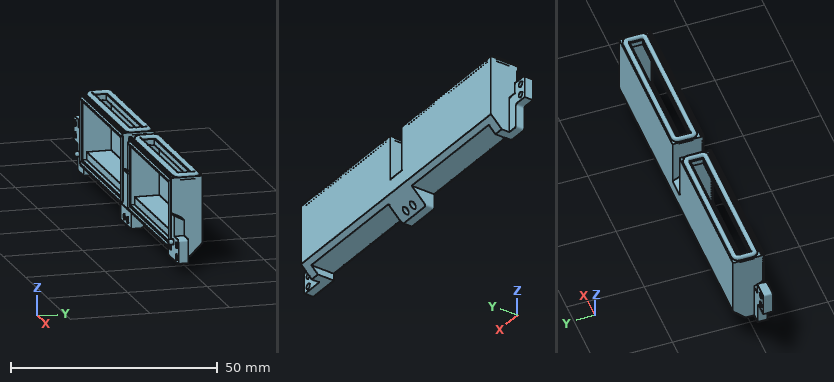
import cadquery as cq
import math


length = 93.8
body_depth = 8.0
body_top = 22.2
tab_depth = 2.5
corner_radius = 0.6
front_setback = 0.05

box_width = 37.9
box_gap = 5.0
box_bottom = 4.2
box_center_x = (box_gap + box_width) / 2
lip_depth = 0.6
lip_top = 22.7
lip_inset = 0.3

side_wall = 1.5
cavity_back = 7.3
cavity_top = 20.7
floor_z = 7.9
sill_z = 5.9
sill_depth = 1.1

slot_end_wall = 2.2
slot_front = 2.6
slot_back = 5.9

gasket_inset = 0.3
inner_corner = 0.2
top_bead_width = 1.5
top_bead_top = 23.2
top_groove_depth = 0.7
top_bead_front = 1.0
front_bead_width = 0.9
front_bead_rise = 0.4
front_groove_depth = 0.2

slope_front_z = 13.5
slope_fall = 0.5
web_flat = 0.6
neck_flat = 0.3

pad_width = 9.9
foot_bottom = 2.25
foot_inner_x = 37.7
neck_x = 43.15
left_tab_inner_x = 42.6
left_tab_bottom = 8.9
left_tab_top = 15.2
right_tab_top = 8.35

hole_diameter = 1.5
hole_pitch = 3.0
pad_hole_z = 1.5
side_hole_x = 45.1
left_hole_z = 10.6
right_hole_z = 3.7
stud_x = 41.9
stud_z = 6.7
stud_radius = 0.7
stud_reach = 1.0
stud_rounding = 0.4

box_centers = (-box_center_x, box_center_x)
box_outer_x = box_gap / 2 + box_width
top_ring_front = top_bead_front
top_ring_back = body_depth - gasket_inset
top_ring_size = (box_width - 2 * gasket_inset, top_ring_back - top_ring_front)
front_ring_bottom = box_bottom + gasket_inset
front_ring_top = body_top - gasket_inset
front_ring_size = (box_width - 2 * gasket_inset, front_ring_top - front_ring_bottom)


def block(x0, x1, y0, y1, z0, z1):
    """Axis-aligned box given by its limits."""
    return cq.Workplane("XY").box(x1 - x0, y1 - y0, z1 - z0, centered=False).translate((x0, y0, z0))


def round_corner(solid, x, z):
    """Round the edge along Y that passes through (x, z)."""
    corner_edge = cq.selectors.NearestToPointSelector((x, tab_depth / 2, z))
    return solid.edges("|Y").edges(corner_edge).fillet(corner_radius)


def side_band(points):
    """Solid with a YZ outline, running the whole length of the part."""
    return cq.Workplane("YZ").polyline(points).close().extrude(length / 2, both=True)


def rounded_bar(width, height, radius, depth):
    """Rounded rectangle centred on the origin, extruded up from Z = 0."""
    return cq.Workplane("XY").rect(width, height).extrude(depth).edges("|Z").fillet(radius)


def groove_ring(width, height, bead, depth):
    """Ring of rectangular section that fills a gasket groove."""
    outer = rounded_bar(width, height, inner_corner + bead, depth)
    inner = rounded_bar(width - 2 * bead, height - 2 * bead, inner_corner, depth)
    return outer.cut(inner)


def bead_ring(width, height, bead, depth):
    """Gasket ring of D-shaped section: flat base at Z = 0, round crest at Z = depth."""
    half = bead / 2
    radius = inner_corner + half
    x = width / 2 - half
    y = height / 2 - half
    diagonal = radius * (1 - math.sqrt(0.5))
    path = (
        cq.Workplane("XY")
        .moveTo(radius - x, -y)
        .lineTo(x - radius, -y)
        .threePointArc((x - diagonal, diagonal - y), (x, radius - y))
        .lineTo(x, y - radius)
        .threePointArc((x - diagonal, y - diagonal), (x - radius, y))
        .lineTo(radius - x, y)
        .threePointArc((diagonal - x, y - diagonal), (-x, y - radius))
        .lineTo(-x, radius - y)
        .threePointArc((diagonal - x, diagonal - y), (radius - x, -y))
    )
    profile = (
        cq.Workplane("YZ", origin=(radius - x, -y, 0))
        .moveTo(-half, 0)
        .lineTo(half, 0)
        .lineTo(half, depth - half)
        .threePointArc((0, depth), (-half, depth - half))
        .close()
    )
    return profile.sweep(path)


def on_top(ring, center_x):
    """Move a ring made at the origin into the top groove of a box."""
    center_y = (top_ring_front + top_ring_back) / 2
    return ring.translate((center_x, center_y, body_top - top_groove_depth))


def on_front(ring, center_x):
    """Turn a ring made at the origin to face forward and move it into the front groove of a box."""
    center_z = (front_ring_bottom + front_ring_top) / 2
    return ring.rotate((0, 0, 0), (1, 0, 0), 90).translate((center_x, front_groove_depth, center_z))


def make_box_body(center_x):
    """Outer block of one box with the thin lip along the front of its top."""
    half = box_width / 2
    body = block(center_x - half, center_x + half, 0, body_depth, box_bottom, body_top)
    lip_half = half - lip_inset
    lip = block(center_x - lip_half, center_x + lip_half, front_setback, lip_depth, body_top, lip_top)
    return body.union(lip)


def make_box_opening(center_x):
    """Cavity with its front sill, the slot through the top wall and both gasket grooves."""
    half = box_width / 2 - side_wall
    cavity = block(center_x - half, center_x + half, 0, cavity_back, floor_z, cavity_top)
    sill = block(center_x - half, center_x + half, 0, sill_depth, sill_z, floor_z)
    slot_half = box_width / 2 - slot_end_wall
    slot = block(center_x - slot_half, center_x + slot_half, slot_front, slot_back, cavity_top, body_top)
    top_groove = on_top(groove_ring(*top_ring_size, top_bead_width, top_groove_depth), center_x)
    front_groove = on_front(groove_ring(*front_ring_size, front_bead_width, front_groove_depth), center_x)
    return cavity.union(sill).union(slot).union(top_groove).union(front_groove)


def make_top_gasket(center_x):
    """Gasket around the slot of one box."""
    depth = top_bead_top - body_top + top_groove_depth
    return on_top(bead_ring(*top_ring_size, top_bead_width, depth), center_x)


def make_front_gasket(center_x):
    """Gasket around the front opening of one box."""
    depth = front_groove_depth + front_bead_rise
    return on_front(bead_ring(*front_ring_size, front_bead_width, depth), center_x)


def space_above_slope(flat_depth):
    """Space above the common rearward slope, with a level strip of the given depth at its front."""
    level = slope_front_z - slope_fall * flat_depth
    back_z = slope_front_z - slope_fall * body_depth
    outline = [
        (0, level),
        (flat_depth, level),
        (body_depth, back_z),
        (body_depth, slope_front_z),
        (0, slope_front_z),
    ]
    return side_band(outline)


def space_behind_chamfer():
    """Space behind the 45 degree chamfer along the lower rear."""
    return side_band([(tab_depth, 0), (body_depth, 0), (body_depth, body_depth - tab_depth)])


def make_web():
    """Web between the boxes, with its sloping top and the wider pad below it."""
    half = box_gap / 2
    web = block(-half, half, 0, body_depth, box_bottom, slope_front_z).cut(space_above_slope(web_flat))
    pad = block(-pad_width / 2, pad_width / 2, front_setback, body_depth, 0, box_bottom)
    for x in (-pad_width / 2, pad_width / 2):
        pad = round_corner(pad, x, 0)
    return web.union(pad)


def make_foot(side):
    """Foot under the outer end of a box; side is -1 for left and 1 for right."""
    x0, x1 = sorted((side * foot_inner_x, side * box_outer_x))
    return block(x0, x1, front_setback, body_depth, foot_bottom, box_bottom)


def make_neck(side):
    """Upright part of a side tab next to the box, with its sloping top."""
    x0, x1 = sorted((side * neck_x, side * box_outer_x))
    neck = block(x0, x1, front_setback, tab_depth, foot_bottom, slope_front_z)
    return neck.cut(space_above_slope(neck_flat))


def make_left_tab():
    """Left tab: the neck and the raised ear outside it."""
    neck = make_neck(-1)
    ear = block(-length / 2, -left_tab_inner_x, front_setback, tab_depth, left_tab_bottom, left_tab_top)
    tab = neck.union(ear)
    for x, z in ((-length / 2, left_tab_top), (-neck_x, left_tab_bottom), (-neck_x, foot_bottom)):
        tab = round_corner(tab, x, z)
    return tab


def make_right_tab():
    """Right tab: the neck and the low ear outside it."""
    ear = block(neck_x, length / 2, front_setback, tab_depth, foot_bottom, right_tab_top)
    for z in (foot_bottom, right_tab_top):
        ear = round_corner(ear, length / 2, z)
    return make_neck(1).union(ear)


def make_mounting_holes():
    """Pairs of through holes in both tabs and in the middle pad."""
    points = [
        (-side_hole_x, left_hole_z),
        (-side_hole_x, left_hole_z + hole_pitch),
        (side_hole_x, right_hole_z),
        (side_hole_x, right_hole_z + hole_pitch),
        (-hole_pitch / 2, pad_hole_z),
        (hole_pitch / 2, pad_hole_z),
    ]
    return cq.Workplane("XZ").pushPoints(points).circle(hole_diameter / 2).extrude(-body_depth)


def make_stud(side):
    """Round-ended locating stud on the front of a side tab."""
    stud = cq.Workplane("XZ").workplane(offset=-front_setback).center(side * stud_x, stud_z)
    stud = stud.circle(stud_radius).extrude(front_setback + stud_reach)
    return stud.faces("<Y").edges().fillet(stud_rounding)


def make_housing():
    """Both boxes, the web, the tabs and the studs as one solid."""
    housing = make_web().union(make_left_tab()).union(make_right_tab())
    for center_x in box_centers:
        housing = housing.union(make_box_body(center_x))
    for side in (-1, 1):
        housing = housing.union(make_foot(side)).union(make_stud(side))
    housing = housing.cut(space_behind_chamfer()).cut(make_mounting_holes())
    for center_x in box_centers:
        housing = housing.cut(make_box_opening(center_x))
    return housing


housing = make_housing()
top_gaskets = [make_top_gasket(center_x) for center_x in box_centers]
front_gaskets = [make_front_gasket(center_x) for center_x in box_centers]

bodies = [housing, *top_gaskets, *front_gaskets]
result = cq.Compound.makeCompound([body.solids().val() for body in bodies])